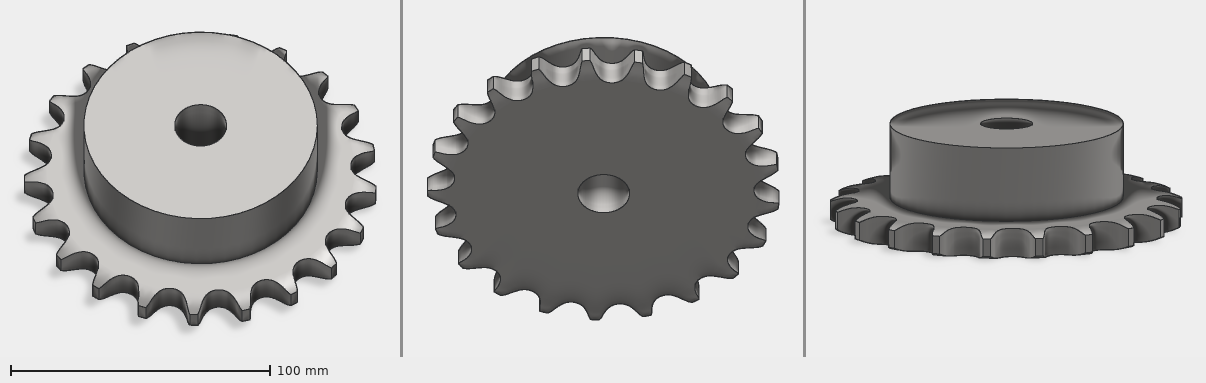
import cadquery as cq
import math

tooth_count = 21
pitch_radius = 64.0
seat_radius = 6.0
half_width = 67.9
plate_thickness = 11.1
hub_diameter = 90.0
bore_diameter = 20.0
total_height = 40.0

seat_half_angle = 52.0
working_radius = 15.6
working_sweep = 15.3
straight_length = 1.5
tip_half_angle = 1.3

bevel_start_radius = 59.3
bevel_radius = 19.0

tooth_pitch_angle = 360 / tooth_count
tip_radius = half_width / math.cos(math.radians(tooth_pitch_angle / 4 - tip_half_angle))
cutter_overrun = 1.4


def polar(radius, angle):
    """Point at a radius and an angle in degrees from the gap centreline (+Y), positive towards +X."""
    return radius * math.sin(math.radians(angle)), radius * math.cos(math.radians(angle))


def shifted(point, step):
    return point[0] + step[0], point[1] + step[1]


def seat_point(angle):
    """Point on the roller seat, at an angle in degrees from the bottom of the gap."""
    x, y = polar(seat_radius, angle)
    return x, pitch_radius - y


def working_point(sweep):
    """Point on the working arc, which leaves the seat tangentially and curves the same way."""
    centre_x, centre_y = shifted(seat_point(seat_half_angle), polar(working_radius, -seat_half_angle))
    x, y = polar(working_radius, seat_half_angle + sweep)
    return centre_x + x, centre_y - y


def make_gap_cutter():
    """Prism that cuts one tooth gap, centred on +Y."""
    flank_angle = 90 - seat_half_angle - working_sweep
    working_end = working_point(working_sweep)
    straight_end = shifted(working_end, polar(straight_length, flank_angle))
    tip_corner_angle = tooth_pitch_angle / 2 - tip_half_angle
    cutter_top = tip_radius + cutter_overrun
    return (
        cq.Workplane("XY")
        .moveTo(*seat_point(0))
        .threePointArc(seat_point(seat_half_angle / 2), seat_point(seat_half_angle))
        .threePointArc(working_point(working_sweep / 2), working_end)
        .lineTo(*straight_end)
        .tangentArcPoint(polar(tip_radius, tip_corner_angle), relative=False)
        .lineTo(*polar(cutter_top, tip_corner_angle))
        .lineTo(0, cutter_top)
        .mirrorY()
        .extrude(plate_thickness)
    )


def make_blank():
    """Toothless disc whose rim is bevelled by an arc tangent to each flat face."""
    bevel_reach = tip_radius - bevel_start_radius
    rim_angle = math.asin(bevel_reach / bevel_radius)

    def bevel_point(angle):
        """Radius from the axis and depth below the flat face, at an angle along the bevel arc."""
        radius = bevel_start_radius + bevel_radius * math.sin(angle)
        return radius, bevel_radius * (1 - math.cos(angle))

    middle_radius, middle_depth = bevel_point(rim_angle / 2)
    rim_radius, rim_depth = bevel_point(rim_angle)
    return (
        cq.Workplane("XZ")
        .lineTo(bevel_start_radius, 0)
        .threePointArc((middle_radius, middle_depth), (rim_radius, rim_depth))
        .lineTo(rim_radius, plate_thickness - rim_depth)
        .threePointArc(
            (middle_radius, plate_thickness - middle_depth),
            (bevel_start_radius, plate_thickness),
        )
        .lineTo(0, plate_thickness)
        .close()
        .revolve(360, (0, 0, 0), (0, 1, 0))
    )


def make_sprocket():
    """Toothed plate with a plain hub on top and a bore through both."""
    sprocket = make_blank()
    gap_cutter = make_gap_cutter()
    for index in range(tooth_count):
        sprocket = sprocket.cut(gap_cutter.rotate((0, 0, 0), (0, 0, 1), index * tooth_pitch_angle))
    hub = cq.Workplane("XY").circle(hub_diameter / 2).extrude(total_height)
    bore = cq.Workplane("XY").circle(bore_diameter / 2).extrude(total_height)
    return sprocket.union(hub).cut(bore)


result = make_sprocket()